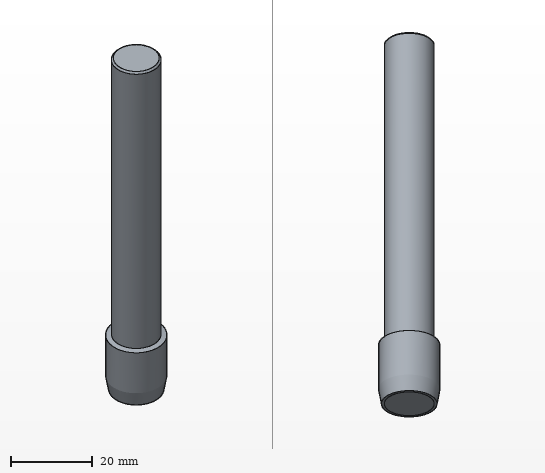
import cadquery as cq

total_length = 100.0
sleeve_radius = 7.5

rod_radius = 6.1
rod_chamfer_height = 0.5
rod_chamfer_width = 0.5

sleeve_edge_height = 16.3
shoulder_rise = 0.3
nose_height = 4.0
nose_end_radius = 6.8
nose_bulge = 0.03


def make_rod():
    """Round rod with a chamfered top, reaching down through the sleeve."""
    return (
        cq.Workplane("XZ")
        .lineTo(rod_radius, 0)
        .lineTo(rod_radius, total_length - rod_chamfer_height)
        .lineTo(rod_radius - rod_chamfer_width, total_length)
        .lineTo(0, total_length)
        .close()
        .revolve(360, (0, 0, 0), (0, 1, 0))
    )


def make_sleeve():
    """Ring with a sloping shoulder and a curved nose, bored to fit the rod."""
    nose_middle_radius = (nose_end_radius + sleeve_radius) / 2 + nose_bulge
    return (
        cq.Workplane("XZ")
        .moveTo(rod_radius, 0)
        .lineTo(nose_end_radius, 0)
        .threePointArc((nose_middle_radius, nose_height / 2), (sleeve_radius, nose_height))
        .lineTo(sleeve_radius, sleeve_edge_height)
        .lineTo(rod_radius, sleeve_edge_height + shoulder_rise)
        .close()
        .revolve(360, (0, 0, 0), (0, 1, 0))
    )


rod = make_rod()
sleeve = make_sleeve()

result = cq.Compound.makeCompound([rod.val(), sleeve.val()])